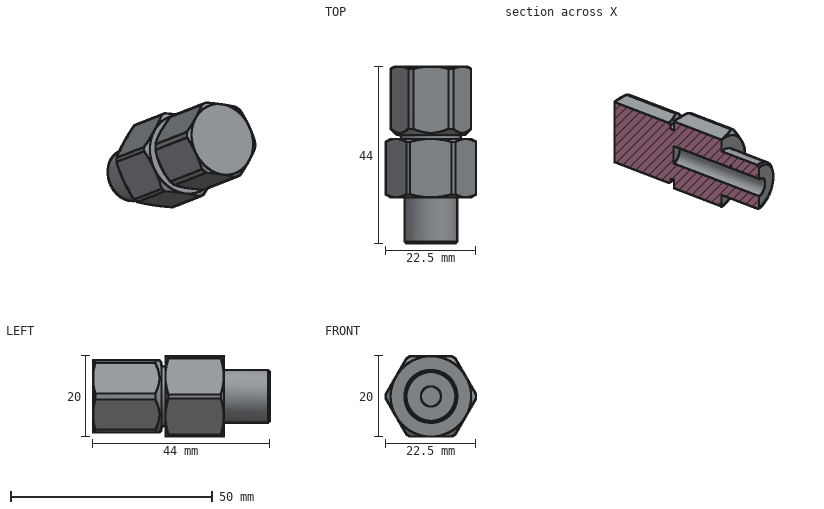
import cadquery as cq
import math

overall_length = 43.95
stud_length = 11.45
body_length = 14.5
nut_length = 17.0
neck_length = overall_length - stud_length - body_length - nut_length

stud_diameter = 13.16
stud_chamfer = 0.5
bore_diameter = 5.0
bore_depth = stud_length + body_length

body_flats = 20.0
body_corners = 22.5
nut_flats = 18.0
nut_corners = 20.0
corner_slope = math.tan(math.radians(30))

nut_cone_length = 1.5

neck_diameter = 14.9
neck_fillet = 0.5

body_start = stud_length
neck_start = body_start + body_length
nut_start = neck_start + neck_length
nut_end = overall_length


def revolve_profile(profile):
    """Turn a closed (radius, Y) outline around the Y axis."""
    return profile.close().revolve(360, (0, 0, 0), (0, 1, 0))


def hexagon(flats, start, length):
    """Hexagonal prism along +Y with corners on the X axis."""
    sharp_corners = flats / math.cos(math.radians(30))
    plane = cq.Workplane("XZ", origin=(0, start, 0))
    return plane.polygon(6, sharp_corners).extrude(-length)


def turned_envelope(corners, start, end, start_face, start_rise, end_face, end_rise):
    """Cylinder over the hexagon corners, coned down to a face diameter at each end."""
    profile = (
        cq.Workplane("XY")
        .moveTo(0, start)
        .lineTo(start_face / 2, start)
        .lineTo(corners / 2, start + start_rise)
        .lineTo(corners / 2, end - end_rise)
        .lineTo(end_face / 2, end)
        .lineTo(0, end)
    )
    return revolve_profile(profile)


def make_stud():
    plane = cq.Workplane("XZ")
    return plane.circle(stud_diameter / 2).extrude(-stud_length).faces("<Y").chamfer(stud_chamfer)


def make_body():
    rise = corner_slope * (body_corners - body_flats) / 2
    envelope = turned_envelope(
        body_corners, body_start, neck_start, body_flats, rise, body_flats, rise
    )
    return hexagon(body_flats, body_start, body_length).intersect(envelope)


def make_neck():
    """Cylinder that flares into the nut through a concave fillet."""
    radius = neck_diameter / 2
    diagonal_offset = neck_fillet * (1 - math.sqrt(0.5))
    profile = (
        cq.Workplane("XY")
        .moveTo(0, neck_start)
        .lineTo(radius, neck_start)
        .lineTo(radius, nut_start - neck_fillet)
        .threePointArc(
            (radius + diagonal_offset, nut_start - diagonal_offset),
            (radius + neck_fillet, nut_start),
        )
        .lineTo(0, nut_start)
    )
    return revolve_profile(profile)


def make_nut():
    cone_face = nut_corners - 2 * nut_cone_length
    end_rise = corner_slope * (nut_corners - nut_flats) / 2
    envelope = turned_envelope(
        nut_corners, nut_start, nut_end, cone_face, nut_cone_length, nut_flats, end_rise
    )
    return hexagon(nut_flats, nut_start, nut_length).intersect(envelope)


def make_bore():
    """Blind bore from the stud tip."""
    return cq.Workplane("XZ").circle(bore_diameter / 2).extrude(-bore_depth)


fitting = make_stud().union(make_body()).union(make_neck()).union(make_nut())
result = fitting.cut(make_bore())